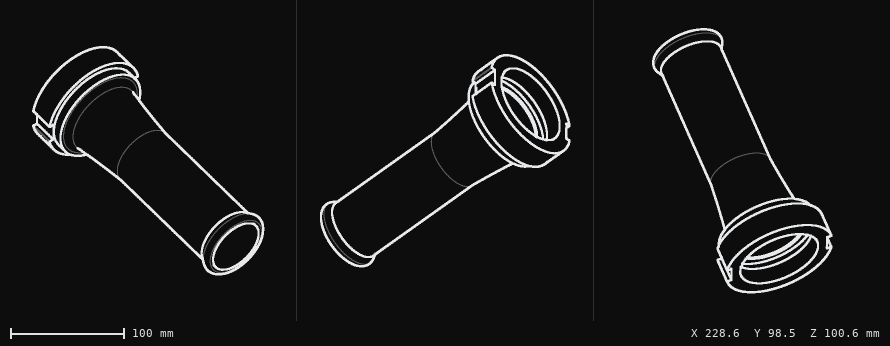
import cadquery as cq
import math


total_length = 228.6
collar_length = 23.6
flange_end = 33.1
taper_start = 38.6
taper_end = 94.4

collar_radius = 50.29
thread_radius = 36.8
thread_depth = 15.7
relief_radius = 40.2
slot_width = 19.05
slot_floor = 45.1
slot_edge_radius = 0.508

flange_radius = 44.45
neck_radius = 34.75
neck_fillet_radius = 6.35
taper_angle = math.radians(8.0)
tail_radius = 28.575
bore_radius = 25.4

mouth_radius = 32.6
mouth_chamfer_radial = 0.6
mouth_chamfer_axial = 1.2

bead_radius = 3.9
bead_cone_start = 216.3


def taper_arc_middle(start, end):
    """Middle point of the arc that leaves start at the taper angle and narrows down to end."""
    run = end[0] - start[0]
    drop = start[1] - end[1]
    sag_ratio = math.tan((taper_angle - math.atan2(drop, run)) / 2) / 2
    return (
        (start[0] + end[0]) / 2 - drop * sag_ratio,
        (start[1] + end[1]) / 2 - run * sag_ratio,
    )


def outer_body():
    """Revolve the solid outer shape, neck and bead included."""
    neck_start = (taper_start, neck_radius)
    neck_end = (taper_end, tail_radius)

    fillet_center = (
        taper_start + neck_fillet_radius * math.sin(taper_angle),
        neck_radius + neck_fillet_radius * math.cos(taper_angle),
    )
    fillet_start = (flange_end, fillet_center[1])
    fillet_middle_angle = (math.radians(180) + math.radians(270) - taper_angle) / 2
    fillet_middle = (
        fillet_center[0] + neck_fillet_radius * math.cos(fillet_middle_angle),
        fillet_center[1] + neck_fillet_radius * math.sin(fillet_middle_angle),
    )

    bead_center = total_length - bead_radius
    cone_angle = math.asin(bead_radius / (bead_center - bead_cone_start))
    cone_end = (
        bead_center - bead_radius * math.sin(cone_angle),
        tail_radius + bead_radius * math.cos(cone_angle),
    )
    bead_crest = (bead_center, tail_radius + bead_radius)

    profile = (
        cq.Workplane("XY")
        .moveTo(0, 0)
        .lineTo(0, collar_radius)
        .lineTo(collar_length, collar_radius)
        .lineTo(collar_length, flange_radius)
        .lineTo(flange_end, flange_radius)
        .lineTo(*fillet_start)
        .threePointArc(fillet_middle, neck_start)
        .threePointArc(taper_arc_middle(neck_start, neck_end), neck_end)
        .lineTo(bead_cone_start, tail_radius)
        .lineTo(*cone_end)
        .threePointArc(bead_crest, (total_length, tail_radius))
        .lineTo(total_length, 0)
        .close()
    )
    return profile.revolve(360, (0, 0, 0), (1, 0, 0))


def inner_cavity():
    """Revolve the passage: thread bore, relief, chamfered mouth, taper and tail bore."""
    mouth_end = (collar_length + mouth_chamfer_axial, mouth_radius - mouth_chamfer_radial)
    tail_bore_start = (taper_end, bore_radius)
    profile = (
        cq.Workplane("XY")
        .moveTo(0, 0)
        .lineTo(0, thread_radius)
        .lineTo(thread_depth, thread_radius)
        .lineTo(thread_depth, relief_radius)
        .lineTo(collar_length, relief_radius)
        .lineTo(collar_length, mouth_radius)
        .lineTo(*mouth_end)
        .threePointArc(taper_arc_middle(mouth_end, tail_bore_start), tail_bore_start)
        .lineTo(total_length, bore_radius)
        .lineTo(total_length, 0)
        .close()
    )
    return profile.revolve(360, (0, 0, 0), (1, 0, 0))


def cut_collar_slots(body):
    """Cut a spanner slot across the collar at +Y and -Y and round its outer edges."""
    slot_height = collar_radius - slot_floor
    for side in (1, -1):
        slot = cq.Workplane("XY").box(collar_length, 2 * slot_height, slot_width)
        slot_center = (collar_length / 2, side * collar_radius, 0)
        body = body.cut(slot.translate(slot_center))

    edge_y = math.sqrt(collar_radius**2 - (slot_width / 2) ** 2)
    margin = 0.1
    for side in (1, -1):
        for wall in (1, -1):
            edge_z = wall * slot_width / 2
            low = (-margin, side * edge_y - margin, edge_z - margin)
            high = (collar_length + margin, side * edge_y + margin, edge_z + margin)
            slot_edge = cq.selectors.BoxSelector(low, high)
            body = body.edges("|X").edges(slot_edge).fillet(slot_edge_radius)
    return body


result = cut_collar_slots(outer_body()).cut(inner_cavity())